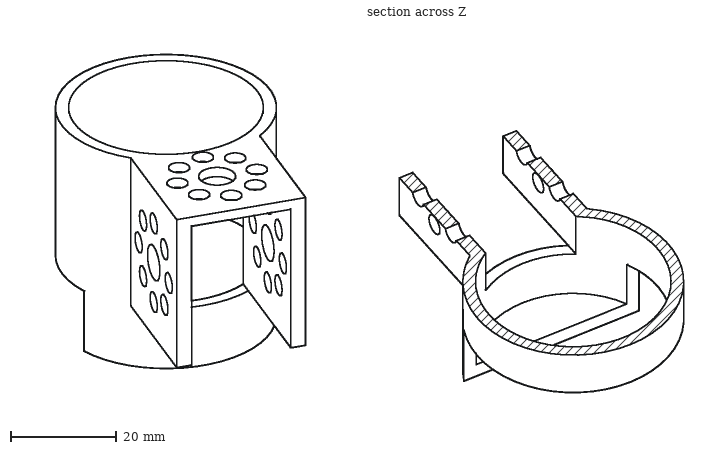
import cadquery as cq

ring_outer_radius = 42 / 2
ring_bore_radius = 37 / 2
ring_height = 32

block_end_x = 42.4
block_width = 26
side_wall = 3
roof = 2
cavity_width = block_width - 2 * side_wall
cavity_height = ring_height - roof

stop_start_x = 8
stop_depth = 13
stop_floor = 3

centre_hole_diameter = 7
small_hole_diameter = 4
small_hole_count = 8
side_pattern_x = 29.45
side_pattern_z = ring_height / 2
side_pattern_radius = 8.5
roof_pattern_x = 28.85
roof_pattern_radius = 8


def hole_pattern(plane, circle_radius, length):
    """Pins for a centre hole and its ring of small holes, running both ways from the plane."""
    centre_pin = cq.Workplane(plane).circle(centre_hole_diameter / 2).extrude(length, both=True)
    small_pins = (
        cq.Workplane(plane)
        .polarArray(circle_radius, 0, 360, small_hole_count)
        .circle(small_hole_diameter / 2)
        .extrude(length, both=True)
    )
    return centre_pin.union(small_pins)


def make_body():
    """Solid ring and block, with the bore and the cavity through the block removed."""
    ring = cq.Workplane("XY").circle(ring_outer_radius).extrude(ring_height)
    block = cq.Workplane("XY").box(block_end_x, block_width, ring_height, centered=(False, True, False))
    bore = cq.Workplane("XY").circle(ring_bore_radius).extrude(ring_height)
    cavity = cq.Workplane("XY").box(block_end_x, cavity_width, cavity_height, centered=(False, True, False))
    return ring.union(block).cut(bore).cut(cavity)


def make_stop():
    """Part of the ring's outline beyond stop_start_x, with a floor at the bottom and open above."""
    slice_box = (
        cq.Workplane("XY")
        .workplane(offset=-stop_depth)
        .center(stop_start_x, 0)
        .box(ring_outer_radius, 2 * ring_outer_radius, stop_depth, centered=(False, True, False))
    )
    disc = cq.Workplane("XY").workplane(offset=-stop_depth).circle(ring_outer_radius).extrude(stop_depth)
    bore = (
        cq.Workplane("XY")
        .workplane(offset=stop_floor - stop_depth)
        .circle(ring_bore_radius)
        .extrude(stop_depth - stop_floor)
    )
    return disc.intersect(slice_box).cut(bore)


side_plane = cq.Plane(origin=(side_pattern_x, 0, side_pattern_z), xDir=(1, 0, 0), normal=(0, -1, 0))
roof_plane = cq.Plane(origin=(roof_pattern_x, 0, ring_height))
side_holes = hole_pattern(side_plane, side_pattern_radius, block_width / 2)
roof_holes = hole_pattern(roof_plane, roof_pattern_radius, roof)

result = make_body().cut(side_holes).cut(roof_holes).union(make_stop())